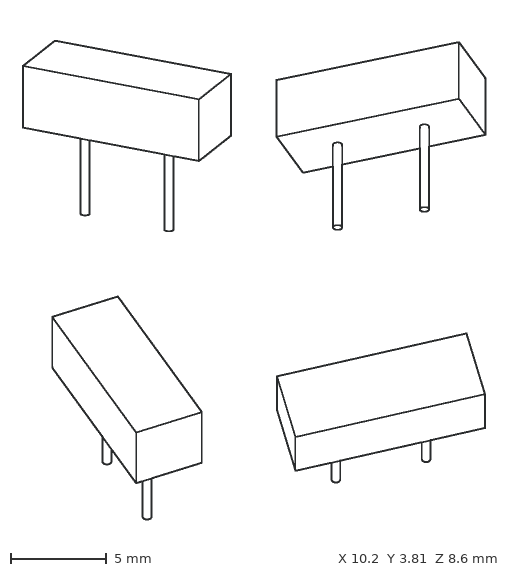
import cadquery as cq

HOUSING_LENGTH = 10.24
HOUSING_WIDTH = 3.81
HOUSING_HEIGHT = 3.5

OVERALL_HEIGHT = 8.6
PIN_DIAMETER = 0.48
PIN_PITCH = 4.87
PIN_LENGTH = OVERALL_HEIGHT - HOUSING_HEIGHT


def make_housing():
    """Plain rectangular block standing on the plane Z = 0."""
    return cq.Workplane("XY").box(
        HOUSING_LENGTH, HOUSING_WIDTH, HOUSING_HEIGHT, centered=(True, True, False)
    )


def make_pin(x):
    """Straight pin hanging from the underside of the housing at the given X."""
    return cq.Workplane("XY").center(x, 0).circle(PIN_DIAMETER / 2).extrude(-PIN_LENGTH)


housing = make_housing()
pins = [make_pin(side * PIN_PITCH / 2) for side in (-1, 1)]

result = cq.Compound.makeCompound([housing.val(), *[pin.val() for pin in pins]])